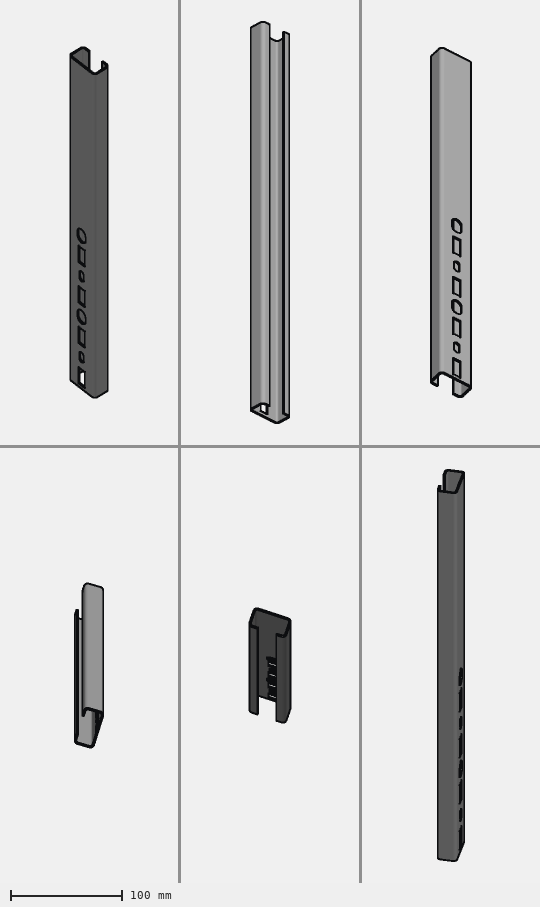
import cadquery as cq

depth = 18.0
length = 400.0
thickness = 1.5
bend_radius = 3.5
flat_width = 28.0
width = flat_width + 2 * bend_radius
lip_opening = 17.5

hole_pitch = 25.0
first_hole_height = 14.0
pattern_repeats = 2
rectangle_width = 8.5
rectangle_height = 20.0
small_slot_width = 6.5
small_slot_height = 12.0
large_slot_width = 11.0
large_slot_height = 16.0


def channel():
    """Bent sheet channel, centred on X and Y, standing on Z = 0."""
    outside = cq.Workplane("XY").rect(width, depth).extrude(length)
    outside = outside.edges("|Z").fillet(bend_radius)
    inside = (
        cq.Workplane("XY")
        .rect(width - 2 * thickness, depth - 2 * thickness)
        .extrude(length)
        .edges("|Z")
        .fillet(bend_radius - thickness)
    )
    opening = cq.Workplane("XY").center(0, depth / 2).rect(lip_opening, depth / 2).extrude(length)
    return outside.cut(inside).cut(opening)


def web_plane(height):
    """Sketch plane on the outer web face, centred at the given height."""
    return cq.Workplane("XZ", origin=(0, -depth / 2, height))


def rectangular_cutter(height):
    return web_plane(height).rect(rectangle_width, rectangle_height).extrude(-depth / 2)


def slot_cutter(height, slot_width, slot_height):
    return web_plane(height).slot2D(slot_height, slot_width, 90).extrude(-depth / 2)


result = channel()

holes_per_group = 4

for repeat in range(pattern_repeats):
    group_base = first_hole_height + repeat * holes_per_group * hole_pitch
    result = result.cut(rectangular_cutter(group_base))
    result = result.cut(slot_cutter(group_base + hole_pitch, small_slot_width, small_slot_height))
    result = result.cut(rectangular_cutter(group_base + 2 * hole_pitch))
    result = result.cut(slot_cutter(group_base + 3 * hole_pitch, large_slot_width, large_slot_height))